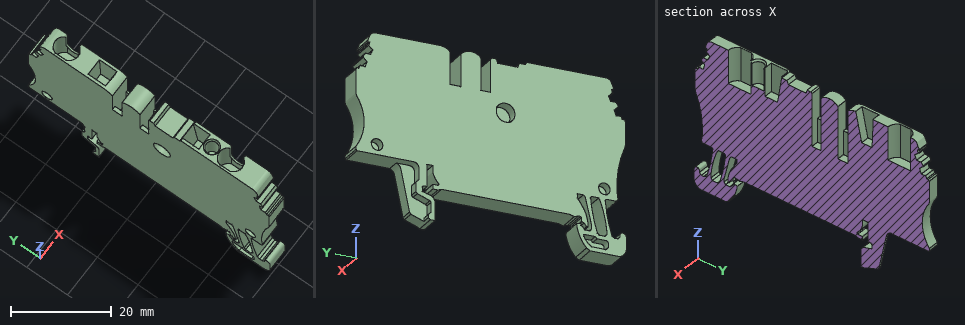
import cadquery as cq
import math


WIDTH = 5.1
HALF_LENGTH = 29.6
TOP_Z = 38.35
BASE_Z = 11.9
RAIL_Z = 7.1
OVERLAP = 0.6

TOP_CORNER_Y = 25.45
TOP_CORNER_MIDDLE = (26.0, 38.2)
TOP_CORNER_END = (26.45, 37.75)
SHOULDER_Z = 29.7
END_FACE_Z = 24.3
TEETH = [
    (27.05, 36.35), (26.95, 36.05), (26.6, 36.05), (26.75, 35.4), (26.95, 35.35),
    (25.95, 34.5), (26.4, 33.4), (27.55, 33.5), (28.0, 32.8), (28.0, 32.5),
    (27.2, 31.7), (27.6, 30.5), (28.65, 30.65), (28.95, 30.0), (29.4, 30.05),
]
END_FACE_BREAK = (29.5, 23.9)
HOLLOW_DEEPEST = (27.85, 18.6)
HOLLOW_LOW_Z = 12.85
TAPER_MIDDLE = (-28.2, 19.6)
TAPER_LOW = (-27.8, 16.2)
TAPER_FLARE_Z = 14.2
TAPER_CORNER = (-28.0, 12.4)
CORNER_CUT = 0.25

SLOT_FLOOR_Z = 30.3
SLOT_SPANS = [(6.55, 8.9), (0.0, 2.15)]
CREST_START_Y = 11.05
CREST_MIDDLE = (10.0, 38.1)
CREST_EDGE_Z = 37.5
FINGER_EDGE_Z = 37.4
LEDGE_Z = 37.8
LEDGE_BEVEL = 0.3
LEDGE_END_Y = -7.6
LEDGE_STEP_RUN = 0.3
LABEL_SEAT_Z = 36.95
LABEL_SEAT_TOP = (-1.25, -6.3)
LABEL_SEAT_FLOOR = (-1.6, -5.95)

JUMPER_WIDTH = 3.75
JUMPER_X = 0.2
JUMPER_DEPTH = 5.95
RELEASE_WIDTH = 3.8
RELEASE_DEPTH = 7.15
RELEASE_OPENINGS = [
    ((11.05, 15.35), (12.55, 15.05)),
    ((-11.85, -7.7), (-11.85, -8.8)),
]
ENTRY_CENTRES = [22.0, -18.3]
ENTRY_WIDTH = 4.15
ENTRY_LENGTH = 5.6
ENTRY_FLAT = 2.6
ENTRY_DEPTH = 8.3
RELIEF_WIDTH = 3.2
RELIEF_DEPTH = 5.95
RELIEF_LIP_RADIUS = 0.65
TEST_Y = -13.7
TEST_DIAMETER = 2.85
TEST_MOUTH_DIAMETER = 3.4
TEST_MOUTH_DEPTH = 0.5
TEST_DEPTH = 5.95

PIN_Y = 25.0
PIN_Z = 14.1
PIN_DIAMETER = 2.5
PIN_DEPTH = 1.9
CENTRE_HOLE = (-3.3, 26.45)
CENTRE_HOLE_DIAMETER = 4.1
CENTRE_HOLE_DEPTH = 2.4

HIGH_NOSE_Y = 12.7
HIGH_THROAT_ARC = [(HIGH_NOSE_Y, 10.4), (12.4, 9.45), (11.35, 8.1)]
HIGH_NOSE = [(11.55, 7.8), (HIGH_NOSE_Y, 7.8), (HIGH_NOSE_Y, 6.8), (11.6, 6.8), (10.8, RAIL_Z)]
LOW_BUMP = [(-17.3, RAIL_Z), (-18.4, 6.8), (-19.3, RAIL_Z)]
LOW_NOSE = [(-19.75, RAIL_Z), (-19.9, 6.85), (-19.9, 6.0), (-20.5, 5.8), (-21.05, 5.1), (-21.35, 5.1)]
LOW_THROAT_ARC = [(-21.35, 6.0), (-20.95, 7.8), (-20.05, 9.5)]
LOW_ROOT = (-19.05, 11.05)

WEB_RECESS = 2.0
STRIP_ROOT_Y = 17.1
STRIP_ROOT_ARC = [(STRIP_ROOT_Y, BASE_Z), (16.1, 11.55), (15.75, 10.7)]
STRIP_BOTTOM = (13.75, 0.35)
STRIP_OUTER = [(15.75, 8.25), (16.5, 7.55), (16.5, 5.5), (16.1, 5.1), (13.4, 4.1), (13.1, 3.8),
               (13.1, 1.7), (13.7, 1.1), STRIP_BOTTOM]
STRIP_FOOT = [(13.25, 0), (12.2, 0)]
STRIP_HOOK_ARC = [(12.2, 4.1), (12.55, 4.8), (13.2, 5.3)]
STRIP_INNER_Y = 14.0
STRIP_INNER = [(15.0, 5.8), (15.0, 6.9), (14.75, RAIL_Z), (STRIP_INNER_Y, RAIL_Z)]
WEB_ROOT_Y = 19.8
WEB_ROOT_ARC = [(WEB_ROOT_Y, BASE_Z), (19.1, 11.4), (18.8, 10.8)]
WEB_OUTER = [(16.9, 1.8), (16.6, 1.35), STRIP_BOTTOM]
WEB_INNER_Y = 15.15
WEB_INNER = [(12.8, 0.6), (12.8, 4.45), (WEB_INNER_Y, 5.35)]

FOOT_END_Y = -29.85
INNER_LEAF_Y = -20.35
INNER_LEAF_ARC = [(INNER_LEAF_Y, BASE_Z), (-20.65, 11.65), (-20.8, 11.3)]
FOOT_JAW = [(-22.2, 5.6), (-22.2, 4.9), (-21.8, 4.35), (-20.75, 4.35), (-19.85, 5.25), (-19.85, 5.65)]
FOOT_HEEL_ARC = [(-18.85, 5.35), (-19.55, 2.75), (-21.05, 0.5)]
FOOT_SOLE = [(-21.8, 0)]
FOOT_TOE_ARC = [(-28.1, 0), (-29.3, 0.6), (FOOT_END_Y, 1.9)]
TOE_TOP_ARC = [(FOOT_END_Y, 4.5), (-29.6, 5.05), (-29.1, 5.3)]
TOE_INNER_ARC = [(-29.0, 5.3), (-28.6, 5.2), (-28.45, 4.75)]
TOE_THROAT = [(-28.45, 4.3), (-27.9, 3.8), (-27.3, 3.8), (-26.7, 4.15)]
OUTER_LEAF_ARC = [(-26.5, 4.75), (-25.75, 7.75), (-25.15, 11.6)]
OUTER_LEAF_Y = -25.4
GAP_TOP = [(-23.75, BASE_Z), (-22.2, BASE_Z)]
GAP_INNER_ARC = [(-21.95, 11.6), (-22.35, 8.45), (-23.25, 4.75)]
GAP_BOTTOM = [(-23.5, 4.15), (-23.85, 3.8), (-25.15, 3.8), (-25.5, 4.3)]
GAP_OUTER_ARC = [(-25.5, 5.0), (-25.05, 8.05), (-24.15, 11.05)]
POCKET_DEPTH = 2.0
POCKET_TOP = [(-20.5, 3.35), (-22.95, 3.35), (-23.4, 2.9)]
POCKET_CORNER_ARC = [(-25.3, 2.9), (-25.7, 2.75), (-25.9, 2.4)]
POCKET_FLOOR = [(-25.9, 1.5), (-25.3, 0.95)]
POCKET_HEEL_ARC = [(-22.25, 0.95), (-21.25, 1.7), (-20.45, 3.0)]


def plate(outline, start=-WIDTH / 2, thickness=WIDTH):
    """Extrude a closed Y-Z outline along +X."""
    return outline.close().extrude(thickness).translate((start, 0, 0))


def sketch(y, z):
    return cq.Workplane("YZ").moveTo(y, z)


def follow(outline, points):
    for y, z in points:
        outline = outline.lineTo(y, z)
    return outline


def bend(outline, arc):
    """Run straight to the start of a three-point arc and follow it."""
    start, middle, end = arc
    return outline.lineTo(*start).threePointArc(middle, end)


def opposite(point):
    y, z = point
    return (-y, z)


def top_box(y_span, x_centre, x_width, z_low, z_high):
    y_low, y_high = y_span
    box = cq.Workplane("XY").box(x_width, y_high - y_low, z_high - z_low, centered=(True, True, False))
    return box.translate((x_centre, (y_low + y_high) / 2, z_low))


def housing():
    """Main outline with toothed ends, from the underside of the ends to the top."""
    (finger_high, slot1_high), (ledge_start, finger_low) = SLOT_SPANS
    finger_middle = (finger_low + finger_high) / 2

    o = sketch(HALF_LENGTH - CORNER_CUT, BASE_Z).lineTo(HALF_LENGTH, BASE_Z + CORNER_CUT)
    o = o.lineTo(HALF_LENGTH, HOLLOW_LOW_Z)
    o = o.threePointArc(HOLLOW_DEEPEST, END_FACE_BREAK)
    o = o.lineTo(HALF_LENGTH, END_FACE_Z).lineTo(HALF_LENGTH, SHOULDER_Z)
    o = follow(o, reversed(TEETH))
    o = o.lineTo(*TOP_CORNER_END).threePointArc(TOP_CORNER_MIDDLE, (TOP_CORNER_Y, TOP_Z))
    o = o.lineTo(CREST_START_Y, TOP_Z)
    o = o.threePointArc(CREST_MIDDLE, (slot1_high, CREST_EDGE_Z))
    o = o.lineTo(slot1_high, SLOT_FLOOR_Z).lineTo(finger_high, SLOT_FLOOR_Z)
    o = o.lineTo(finger_high, FINGER_EDGE_Z)
    o = o.threePointArc((finger_middle, TOP_Z), (finger_low, FINGER_EDGE_Z))
    o = o.lineTo(finger_low, SLOT_FLOOR_Z).lineTo(ledge_start, SLOT_FLOOR_Z)
    o = o.lineTo(ledge_start, LEDGE_Z - LEDGE_BEVEL).lineTo(ledge_start - LEDGE_BEVEL, LEDGE_Z)
    o = o.lineTo(LABEL_SEAT_TOP[0], LEDGE_Z)
    o = o.lineTo(LABEL_SEAT_FLOOR[0], LABEL_SEAT_Z).lineTo(LABEL_SEAT_FLOOR[1], LABEL_SEAT_Z)
    o = o.lineTo(LABEL_SEAT_TOP[1], LEDGE_Z).lineTo(LEDGE_END_Y, LEDGE_Z)
    o = o.lineTo(LEDGE_END_Y - LEDGE_STEP_RUN, TOP_Z).lineTo(-TOP_CORNER_Y, TOP_Z)
    o = o.threePointArc(opposite(TOP_CORNER_MIDDLE), opposite(TOP_CORNER_END))
    o = follow(o, [opposite(point) for point in TEETH])
    o = o.lineTo(-HALF_LENGTH, SHOULDER_Z).lineTo(-HALF_LENGTH, END_FACE_Z)
    o = o.lineTo(*opposite(END_FACE_BREAK))
    o = o.threePointArc(TAPER_MIDDLE, TAPER_LOW)
    o = o.lineTo(TAPER_LOW[0], TAPER_FLARE_Z).lineTo(*TAPER_CORNER)
    o = o.lineTo(TAPER_CORNER[0] + CORNER_CUT, BASE_Z)
    return plate(o)


def rail_block():
    """Block between the clips, with a hooked nose at each end."""
    root_z = BASE_Z + OVERLAP
    outline = bend(sketch(HIGH_NOSE_Y, root_z), HIGH_THROAT_ARC)
    outline = follow(outline, HIGH_NOSE + LOW_BUMP + LOW_NOSE)
    outline = bend(outline, LOW_THROAT_ARC)
    outline = follow(outline, [LOW_ROOT, (LOW_ROOT[0], root_z)])
    return plate(outline)


def fixed_clip():
    """Full-width hooked strip backed by a thinner web."""
    root_z = BASE_Z + OVERLAP
    strip = bend(sketch(STRIP_ROOT_Y, root_z), STRIP_ROOT_ARC)
    strip = follow(strip, STRIP_OUTER + STRIP_FOOT)
    strip = bend(strip, STRIP_HOOK_ARC)
    strip = follow(strip, STRIP_INNER + [(STRIP_INNER_Y, root_z)])

    web = bend(sketch(WEB_ROOT_Y, root_z), WEB_ROOT_ARC)
    web = follow(web, WEB_OUTER + WEB_INNER + [(WEB_INNER_Y, root_z)])
    web = plate(web, WEB_RECESS - WIDTH / 2, WIDTH - WEB_RECESS)
    return plate(strip).union(web)


def sprung_foot():
    """Foot hung from the housing on two slanted leaf springs."""
    root_z = BASE_Z + OVERLAP
    foot = bend(sketch(INNER_LEAF_Y, root_z), INNER_LEAF_ARC)
    foot = bend(follow(foot, FOOT_JAW), FOOT_HEEL_ARC)
    foot = bend(follow(foot, FOOT_SOLE), FOOT_TOE_ARC)
    foot = bend(bend(foot, TOE_TOP_ARC), TOE_INNER_ARC)
    foot = bend(follow(foot, TOE_THROAT), OUTER_LEAF_ARC)
    foot = follow(foot, [(OUTER_LEAF_Y, BASE_Z), (OUTER_LEAF_Y, root_z)])

    gap = bend(follow(sketch(*GAP_TOP[0]), GAP_TOP[1:]), GAP_INNER_ARC)
    gap = bend(follow(gap, GAP_BOTTOM), GAP_OUTER_ARC)

    pocket = bend(follow(sketch(*POCKET_TOP[0]), POCKET_TOP[1:]), POCKET_CORNER_ARC)
    pocket = bend(follow(pocket, POCKET_FLOOR), POCKET_HEEL_ARC)

    return plate(foot).cut(plate(gap)).cut(plate(pocket, thickness=POCKET_DEPTH))


def jumper_chambers():
    chambers = cq.Workplane("XY")
    for span in SLOT_SPANS:
        chambers = chambers.union(
            top_box(span, JUMPER_X, JUMPER_WIDTH, SLOT_FLOOR_Z - JUMPER_DEPTH, SLOT_FLOOR_Z))
    return chambers


def release_openings():
    openings = cq.Workplane("XY")
    for (top_low, top_high), (floor_low, floor_high) in RELEASE_OPENINGS:
        floor_z = TOP_Z - RELEASE_DEPTH
        taper = sketch(top_low, TOP_Z).lineTo(floor_low, floor_z)
        taper = taper.lineTo(floor_high, floor_z).lineTo(top_high, TOP_Z)
        openings = openings.union(plate(taper, -RELEASE_WIDTH / 2, RELEASE_WIDTH))
    return openings


def wire_entry(y_centre):
    """Oblong entry shaft with a U-shaped relief through the +X wall."""
    half_width = ENTRY_WIDTH / 2
    half_flat = ENTRY_FLAT / 2
    half_length = ENTRY_LENGTH / 2
    shaft = (
        cq.Workplane("XY")
        .moveTo(-half_width, -half_flat)
        .threePointArc((0, -half_length), (half_width, -half_flat))
        .lineTo(half_width, half_flat)
        .threePointArc((0, half_length), (-half_width, half_flat))
        .close()
        .extrude(ENTRY_DEPTH)
        .translate((0, y_centre, TOP_Z - ENTRY_DEPTH))
    )
    half_relief = RELIEF_WIDTH / 2
    arc_z = TOP_Z - RELIEF_DEPTH + half_relief
    lip_z = TOP_Z - RELIEF_LIP_RADIUS
    half_mouth = half_relief + RELIEF_LIP_RADIUS
    lip_middle_y = half_mouth - RELIEF_LIP_RADIUS * math.sqrt(0.5)
    lip_middle_z = lip_z + RELIEF_LIP_RADIUS * math.sqrt(0.5)
    relief = sketch(half_mouth, TOP_Z).threePointArc((lip_middle_y, lip_middle_z), (half_relief, lip_z))
    relief = relief.lineTo(half_relief, arc_z)
    relief = relief.threePointArc((0, TOP_Z - RELIEF_DEPTH), (-half_relief, arc_z))
    relief = relief.lineTo(-half_relief, lip_z)
    relief = relief.threePointArc((-lip_middle_y, lip_middle_z), (-half_mouth, TOP_Z))
    relief = plate(relief, 0, WIDTH / 2).translate((0, y_centre, 0))
    return shaft.union(relief)


def test_hole():
    """Round hole with a conical mouth."""
    radius = TEST_DIAMETER / 2
    mouth_radius = TEST_MOUTH_DIAMETER / 2
    return (
        cq.Workplane("XZ")
        .polyline([(0, TOP_Z), (mouth_radius, TOP_Z), (radius, TOP_Z - TEST_MOUTH_DEPTH),
                   (radius, TOP_Z - TEST_DEPTH), (0, TOP_Z - TEST_DEPTH)])
        .close()
        .revolve(360, (0, 0, 0), (0, 1, 0))
        .translate((0, TEST_Y, 0))
    )


def side_holes():
    pins = cq.Workplane("YZ").pushPoints([(-PIN_Y, PIN_Z), (PIN_Y, PIN_Z)])
    pins = pins.circle(PIN_DIAMETER / 2).extrude(PIN_DEPTH)
    centre = cq.Workplane("YZ").center(*CENTRE_HOLE).circle(CENTRE_HOLE_DIAMETER / 2)
    return pins.union(centre.extrude(CENTRE_HOLE_DEPTH)).translate((-WIDTH / 2, 0, 0))


result = housing().union(rail_block()).union(fixed_clip()).union(sprung_foot())
result = result.cut(jumper_chambers()).cut(release_openings()).cut(test_hole()).cut(side_holes())
for entry_y in ENTRY_CENTRES:
    result = result.cut(wire_entry(entry_y))